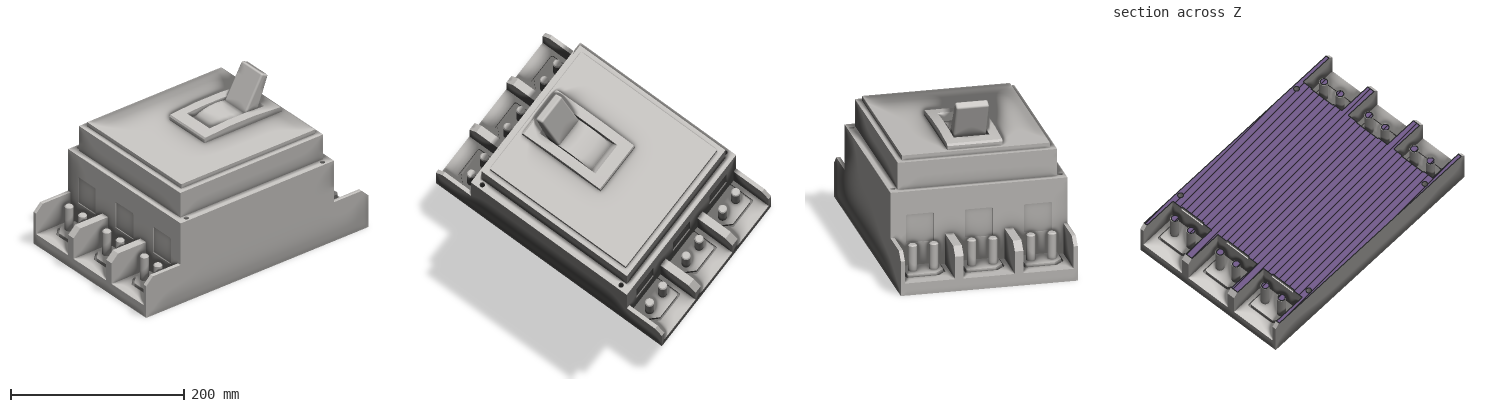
import cadquery as cq

BASE_LENGTH = 326.0
WIDTH = 210.0
BODY_LENGTH = 225.0
BODY_TOP = 108.5
COVER_WIDTH = 189.0
COVER_LENGTH = 209.5
COVER_TOP = 141.8
PLATE_WIDTH = 175.5
PLATE_LENGTH = 196.0
PLATE_TOP = 147.7

WALL_TOP = 52.5
WALL_CHAMFER = 9.8
BAY_FLOOR = 15.0
OUTER_WALL = 5.0
INNER_WALL = 10.0
BAY_PITCH = 70.0
MIDDLE_BAY_WIDTH = 60.5

PAD_WIDTH = 44.5
PAD_END = 143.5
PAD_HEIGHT = 2.3
PAD_CHAMFER = 10.0
PAD_FILLET = 2.5
GROOVE_WIDTH = 2.3
GROOVE_DEPTH = 3.3

STUD_DIAMETER = 10.5
STUD_SPACING = 25.0
STUD_Y = 128.5
STUD_TOP = 49.2
STUD_CHAMFER = 1.3

PANEL_WIDTH = 33.3
PANEL_BOTTOM = 44.5
PANEL_TOP = 80.0
PANEL_DEPTH = 1.3
PANEL_FILLET = 2.0

HOLE_DIAMETER = 6.2
HOLE_SPACING_X = 199.0
HOLE_SPACING_Y = 200.2

SWITCH_Y = 36.2
BEZEL_WIDTH = 65.5
BEZEL_LENGTH = 113.5
BEZEL_END_TOP = 154.5
BEZEL_CROWN_TOP = 157.5
BEZEL_BEVEL_HEIGHT = 2.3
BEZEL_FRONT_BEVEL = 1.3
BEZEL_BACK_BEVEL = 2.3
WINDOW_WIDTH = 42.5
WINDOW_LENGTH = 80.5
WINDOW_FLOOR_LENGTH = 65.0
WINDOW_SLOPE_TOP = 155.8
WINDOW_CUT_TOP = 163.0

HANDLE_WIDTH = 38.8
DRUM_LENGTH = 64.0
DRUM_TOP = 155.8
HANDLE_FILLET = 2.3
HANDLE_ROOT_Z = 150.0
HANDLE_ROOT_FRONT = 47.0
HANDLE_ROOT_BACK = 67.5
HANDLE_TIP_FRONT = (74.5, 199.0)
HANDLE_TIP_BACK = (83.8, 194.3)


def block(width, length, bottom, top):
    """Upright box centred on the Z axis."""
    return cq.Workplane("XY").workplane(offset=bottom).rect(width, length).extrude(top - bottom)


def extrude_across(profile, width):
    """Extrude a YZ profile symmetrically about X = 0."""
    return profile.extrude(width / 2, both=True)


def make_housing():
    half = BASE_LENGTH / 2
    half_body = BODY_LENGTH / 2
    profile = (
        cq.Workplane("YZ")
        .moveTo(-half, 0)
        .lineTo(-half, WALL_TOP - WALL_CHAMFER)
        .lineTo(-half + WALL_CHAMFER, WALL_TOP)
        .lineTo(-half_body, WALL_TOP)
        .lineTo(-half_body, BODY_TOP)
        .lineTo(half_body, BODY_TOP)
        .lineTo(half_body, WALL_TOP)
        .lineTo(half - WALL_CHAMFER, WALL_TOP)
        .lineTo(half, WALL_TOP - WALL_CHAMFER)
        .lineTo(half, 0)
        .close()
    )
    cover = block(COVER_WIDTH, COVER_LENGTH, BODY_TOP, COVER_TOP)
    plate = block(PLATE_WIDTH, PLATE_LENGTH, COVER_TOP, PLATE_TOP)
    return extrude_across(profile, WIDTH).union(cover).union(plate)


def make_pad(center_x, margin, bottom, top):
    """Plate at the +Y end with one cut and one rounded corner, grown outwards by the margin."""
    left = center_x - PAD_WIDTH / 2 - margin
    right = center_x + PAD_WIDTH / 2 + margin
    start = BODY_LENGTH / 2
    end = PAD_END + margin
    return (
        cq.Workplane("XY")
        .workplane(offset=bottom)
        .moveTo(left, start)
        .lineTo(left, end - PAD_CHAMFER)
        .lineTo(left + PAD_CHAMFER, end)
        .lineTo(right - PAD_FILLET, end)
        .radiusArc((right, end - PAD_FILLET), PAD_FILLET)
        .lineTo(right, start)
        .close()
        .extrude(top - bottom)
    )


def make_bay_cut(left, right):
    """Space between two walls at the +Y end."""
    return (
        cq.Workplane("XY")
        .workplane(offset=BAY_FLOOR)
        .moveTo(left, BODY_LENGTH / 2)
        .lineTo(left, BASE_LENGTH / 2)
        .lineTo(right, BASE_LENGTH / 2)
        .lineTo(right, BODY_LENGTH / 2)
        .close()
        .extrude(WALL_TOP - BAY_FLOOR)
    )


def make_panel_cut(center_x):
    """Shallow recess with rounded top corners in the +Y body face."""
    center_y = (BODY_LENGTH - PANEL_DEPTH) / 2
    center_z = (PANEL_BOTTOM + PANEL_TOP) / 2
    return (
        cq.Workplane("XY")
        .box(PANEL_WIDTH, PANEL_DEPTH, PANEL_TOP - PANEL_BOTTOM)
        .edges("|Y and >Z")
        .fillet(PANEL_FILLET)
        .translate((center_x, center_y, center_z))
    )


def make_studs(center_x):
    offset = STUD_SPACING / 2
    return (
        cq.Workplane("XY")
        .workplane(offset=BAY_FLOOR)
        .pushPoints([(center_x - offset, STUD_Y), (center_x + offset, STUD_Y)])
        .circle(STUD_DIAMETER / 2)
        .extrude(STUD_TOP - BAY_FLOOR)
        .faces(">Z")
        .chamfer(STUD_CHAMFER)
    )


def add_both_ends(body, feature):
    """Join a +Y end feature and its mirror image at the -Y end."""
    return body.union(feature).union(feature.mirror("XZ"))


def cut_both_ends(body, feature):
    """Remove a +Y end feature and its mirror image at the -Y end."""
    return body.cut(feature).cut(feature.mirror("XZ"))


def add_terminals(body):
    pad_bottom = BAY_FLOOR - GROOVE_DEPTH
    middle_edge = MIDDLE_BAY_WIDTH / 2
    inner = middle_edge + INNER_WALL
    outer = WIDTH / 2 - OUTER_WALL
    bays = [
        (-BAY_PITCH, -outer, -inner),
        (0, -middle_edge, middle_edge),
        (BAY_PITCH, inner, outer),
    ]
    for center_x, left, right in bays:
        body = cut_both_ends(body, make_bay_cut(left, right))
        body = cut_both_ends(body, make_panel_cut(center_x))
        body = cut_both_ends(body, make_pad(center_x, GROOVE_WIDTH, pad_bottom, BAY_FLOOR))
        body = add_both_ends(body, make_pad(center_x, 0, pad_bottom, BAY_FLOOR + PAD_HEIGHT))
        body = add_both_ends(body, make_studs(center_x))
    return body


def cut_mounting_holes(body):
    holes = (
        cq.Workplane("XY")
        .rect(HOLE_SPACING_X, HOLE_SPACING_Y, forConstruction=True)
        .vertices()
        .circle(HOLE_DIAMETER / 2)
        .extrude(BODY_TOP)
    )
    return body.cut(holes)


def make_bezel():
    """Crowned frame with bevelled ends, whose window has sloping ends and reaches the plate."""
    front = SWITCH_Y - BEZEL_LENGTH / 2
    back = SWITCH_Y + BEZEL_LENGTH / 2
    bevel_bottom = BEZEL_END_TOP - BEZEL_BEVEL_HEIGHT
    profile = (
        cq.Workplane("YZ")
        .moveTo(front, PLATE_TOP)
        .lineTo(front, bevel_bottom)
        .lineTo(front + BEZEL_FRONT_BEVEL, BEZEL_END_TOP)
        .threePointArc((SWITCH_Y, BEZEL_CROWN_TOP), (back - BEZEL_BACK_BEVEL, BEZEL_END_TOP))
        .lineTo(back, bevel_bottom)
        .lineTo(back, PLATE_TOP)
        .close()
    )
    bezel = extrude_across(profile, BEZEL_WIDTH)
    window = (
        cq.Workplane("YZ")
        .moveTo(SWITCH_Y - WINDOW_FLOOR_LENGTH / 2, PLATE_TOP)
        .lineTo(SWITCH_Y - WINDOW_LENGTH / 2, WINDOW_SLOPE_TOP)
        .lineTo(SWITCH_Y - WINDOW_LENGTH / 2, WINDOW_CUT_TOP)
        .lineTo(SWITCH_Y + WINDOW_LENGTH / 2, WINDOW_CUT_TOP)
        .lineTo(SWITCH_Y + WINDOW_LENGTH / 2, WINDOW_SLOPE_TOP)
        .lineTo(SWITCH_Y + WINDOW_FLOOR_LENGTH / 2, PLATE_TOP)
        .close()
    )
    return bezel.cut(extrude_across(window, WINDOW_WIDTH))


def make_drum():
    profile = (
        cq.Workplane("YZ")
        .moveTo(SWITCH_Y - DRUM_LENGTH / 2, PLATE_TOP)
        .threePointArc((SWITCH_Y, DRUM_TOP), (SWITCH_Y + DRUM_LENGTH / 2, PLATE_TOP))
        .close()
    )
    return extrude_across(profile, HANDLE_WIDTH)


def make_handle():
    profile = (
        cq.Workplane("YZ")
        .moveTo(HANDLE_ROOT_FRONT, HANDLE_ROOT_Z)
        .lineTo(*HANDLE_TIP_FRONT)
        .lineTo(*HANDLE_TIP_BACK)
        .lineTo(HANDLE_ROOT_BACK, HANDLE_ROOT_Z)
        .close()
    )
    return extrude_across(profile, HANDLE_WIDTH).edges("not <Z").fillet(HANDLE_FILLET)


housing = cut_mounting_holes(add_terminals(make_housing()))
result = housing.union(make_bezel()).union(make_drum()).union(make_handle())